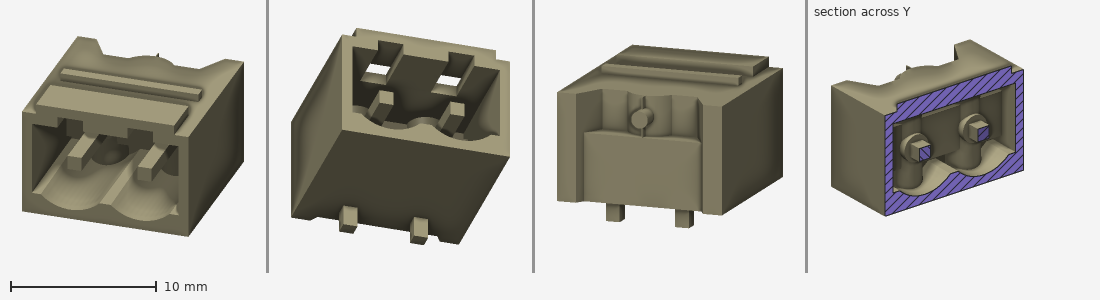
import cadquery as cq
import math


WIDTH = 12.06
DEPTH = 12.0
HEIGHT = 7.7

RAISED_WIDTH = 10.01
PAD_DEPTH = 3.09
PAD_HEIGHT = 0.72
RIB_FRONT = 5.23
RIB_DEPTH = 0.77
RIB_HEIGHT = 0.58

PITCH = 5.08
CONTACT_XS = [-PITCH / 2, PITCH / 2]
PIN_SIZE = 1.01
PIN_HEIGHT = 3.8
PIN_FRONT = 0.96
PIN_TAIL_CENTRE = 9.94
PIN_TAIL_LENGTH = 1.51

CAVITY_WIDTH = 10.61
CAVITY_DEPTH = 8.5
FLOOR_HEIGHT = 1.54
CEILING_HEIGHT = 6.87
FLOOR_RISE = 0.08
CEILING_DROP = 0.11
SCOOP_RADIUS = 3.1
SLOT_WIDTH = 1.85
SLOT_DEPTH = 4.17

LEDGE_BOTTOM = 2.32
LEDGE_TOP = 5.68
LEDGE_DEPTH = 1.04
COLUMN_BOTTOM_RADIUS = 1.41
COLUMN_TOP_RADIUS = 1.31
BOSS_RADIUS = 1.04
BOSS_DEPTH = 1.57

NOTCH_OUTER_WIDTH = 9.31
NOTCH_INNER_WIDTH = 6.95
NOTCH_FRONT = 9.96
SHELF_BACK = 11.38
SHELF_HEIGHT = PIN_HEIGHT + BOSS_RADIUS
BUMP_WIDTH = 3.28
BUMP_RISE = 0.86
FIN_THICKNESS = 0.07
PEG_RADIUS = 0.6
PEG_HEIGHT = 6.24


def block(x_range, y_range, z_range):
    """Box spanning the given (low, high) range on each axis."""
    lows, highs = zip(x_range, y_range, z_range)
    size = [high - low for low, high in zip(lows, highs)]
    return cq.Workplane("XY").box(*size, centered=False).translate(lows)


def centred_block(width, y_range, z_range, x=0.0):
    """Box of the given width, centred on x."""
    return block((x - width / 2, x + width / 2), y_range, z_range)


def xz_plane(y):
    """Workplane at the given y with local axes -X and Z, extruding towards +Y."""
    return cq.Workplane(cq.Plane(origin=(0, y, 0), xDir=(-1, 0, 0), normal=(0, 1, 0)))


def make_outside():
    pad = centred_block(RAISED_WIDTH, (0, PAD_DEPTH), (0, HEIGHT + PAD_HEIGHT))
    rib = centred_block(RAISED_WIDTH, (RIB_FRONT, RIB_FRONT + RIB_DEPTH), (0, HEIGHT + RIB_HEIGHT))
    return centred_block(WIDTH, (0, DEPTH), (0, HEIGHT)).union(pad).union(rib)


def make_scoop(x):
    """Round trough in the cavity floor, concentric with a contact."""
    rim_height = FLOOR_HEIGHT + FLOOR_RISE
    half_width = math.sqrt(SCOOP_RADIUS**2 - (PIN_HEIGHT - rim_height) ** 2)
    return (
        xz_plane(0)
        .moveTo(-x - half_width, rim_height)
        .threePointArc((-x, PIN_HEIGHT - SCOOP_RADIUS), (-x + half_width, rim_height))
        .close()
        .extrude(CAVITY_DEPTH)
    )


def make_cavity():
    cavity = (
        cq.Workplane("YZ")
        .moveTo(0, FLOOR_HEIGHT)
        .lineTo(CAVITY_DEPTH, FLOOR_HEIGHT + FLOOR_RISE)
        .lineTo(CAVITY_DEPTH, CEILING_HEIGHT - CEILING_DROP)
        .lineTo(SLOT_DEPTH, CEILING_HEIGHT)
        .lineTo(0, CEILING_HEIGHT)
        .close()
        .extrude(CAVITY_WIDTH / 2, both=True)
    )
    for x in CONTACT_XS:
        slot = centred_block(SLOT_WIDTH, (0, SLOT_DEPTH), (PIN_HEIGHT, HEIGHT), x)
        cavity = cavity.union(make_scoop(x)).union(slot)
    return cavity


def make_column(x):
    """Upright tapered column, half sunk in the back wall of the cavity."""
    cone = cq.Solid.makeCone(COLUMN_BOTTOM_RADIUS, COLUMN_TOP_RADIUS, CEILING_HEIGHT)
    column = cq.Workplane(obj=cone).translate((x, CAVITY_DEPTH, 0))
    front_half = centred_block(WIDTH, (0, CAVITY_DEPTH), (0, HEIGHT))
    return column.intersect(front_half)


def make_boss(x):
    """Round boss around a contact where it leaves the back wall."""
    return xz_plane(CAVITY_DEPTH - BOSS_DEPTH).center(-x, PIN_HEIGHT).circle(BOSS_RADIUS).extrude(BOSS_DEPTH)


def make_back_wall_relief():
    relief = centred_block(
        CAVITY_WIDTH, (CAVITY_DEPTH - LEDGE_DEPTH, CAVITY_DEPTH), (LEDGE_BOTTOM, LEDGE_TOP)
    )
    for x in CONTACT_XS:
        relief = relief.union(make_column(x)).union(make_boss(x))
    return relief


def make_notch():
    """Space between the ears: above the shelf up to the bump, and behind the shelf below it."""
    outer = NOTCH_OUTER_WIDTH / 2
    inner = NOTCH_INNER_WIDTH / 2
    above_shelf = (
        cq.Workplane("XY", origin=(0, 0, SHELF_HEIGHT))
        .moveTo(-outer, DEPTH)
        .lineTo(-inner, NOTCH_FRONT)
        .lineTo(-BUMP_WIDTH / 2, NOTCH_FRONT)
        .threePointArc((0, NOTCH_FRONT + BUMP_RISE), (BUMP_WIDTH / 2, NOTCH_FRONT))
        .lineTo(inner, NOTCH_FRONT)
        .lineTo(outer, DEPTH)
        .close()
        .extrude(HEIGHT - SHELF_HEIGHT)
    )
    taper = (outer - inner) / (DEPTH - NOTCH_FRONT)
    shelf_half_width = inner + taper * (SHELF_BACK - NOTCH_FRONT)
    behind_shelf = (
        cq.Workplane("XY")
        .moveTo(-outer, DEPTH)
        .lineTo(-shelf_half_width, SHELF_BACK)
        .lineTo(shelf_half_width, SHELF_BACK)
        .lineTo(outer, DEPTH)
        .close()
        .extrude(HEIGHT)
    )
    return above_shelf.union(behind_shelf)


def make_fin():
    """Thin upright fin from the bump to the back edge of the shelf."""
    return block((0, FIN_THICKNESS), (NOTCH_FRONT, SHELF_BACK), (SHELF_HEIGHT, HEIGHT))


def make_peg():
    """Round peg sticking out backwards from the bump."""
    return xz_plane(NOTCH_FRONT).center(0, PEG_HEIGHT).circle(PEG_RADIUS).extrude(DEPTH - NOTCH_FRONT)


def make_pin(x):
    """Square pin running back through the housing and bent down at right angles."""
    half = PIN_SIZE / 2
    tail_back = PIN_TAIL_CENTRE + half
    contact = centred_block(PIN_SIZE, (PIN_FRONT, tail_back), (PIN_HEIGHT - half, PIN_HEIGHT + half), x)
    tail = centred_block(
        PIN_SIZE, (PIN_TAIL_CENTRE - half, tail_back), (-PIN_TAIL_LENGTH, PIN_HEIGHT + half), x
    )
    return contact.union(tail)


def make_housing(pins):
    housing = make_outside().cut(make_cavity()).union(make_back_wall_relief())
    housing = housing.cut(make_notch()).union(make_fin()).union(make_peg())
    for pin in pins:
        housing = housing.cut(pin)
    return housing


pins = [make_pin(x) for x in CONTACT_XS]
housing = make_housing(pins)

result = cq.Compound.makeCompound([housing.val(), *[pin.val() for pin in pins]])